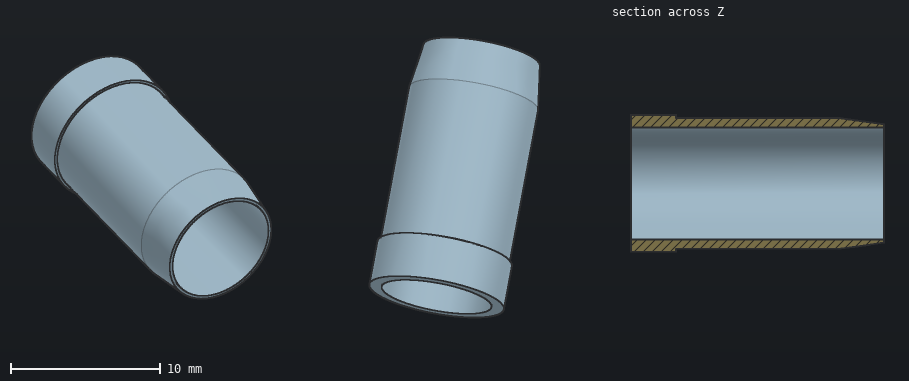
import cadquery as cq

length = 17.0
collar_length = 3.05
taper_length = 3.05
collar_diameter = 9.2
body_diameter = 8.8
tip_diameter = 7.95
bore_diameter = 7.5

collar_radius = collar_diameter / 2
body_radius = body_diameter / 2
tip_radius = tip_diameter / 2
bore_radius = bore_diameter / 2

start_x = -length / 2
end_x = length / 2
collar_end_x = start_x + collar_length
taper_start_x = end_x - taper_length

wall_section = (
    cq.Workplane("XY")
    .moveTo(start_x, bore_radius)
    .lineTo(start_x, collar_radius)
    .lineTo(collar_end_x, collar_radius)
    .lineTo(collar_end_x, body_radius)
    .lineTo(taper_start_x, body_radius)
    .lineTo(end_x, tip_radius)
    .lineTo(end_x, bore_radius)
    .close()
)

result = wall_section.revolve(360, (0, 0, 0), (1, 0, 0))